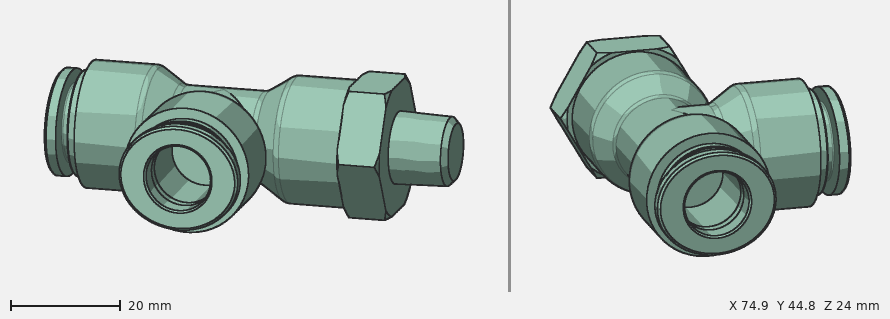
import cadquery as cq
import math


total_length = 74.9
arm_length = 30.9

bore_d = 12.2
bore_chamfer = 0.4
flange_width = 22.5
flange_height = 19.6
flange_thickness = 2.25
flange_chamfer = 0.45
neck_d = 14.2
neck_length = 1.7
neck_fillet = 0.2

ring_d = 19.6
ring_thickness = 1.95
ring_chamfer = 0.2

socket_d = 23.5
waist_d = 16.9
socket_inner_end = 13.0
waist_outer_end = 7.95
cone_fillet = 2.0

flange_back = arm_length - flange_thickness
ring_face = flange_back - neck_length
socket_face = ring_face - ring_thickness

hex_flats = 24.0
hex_corners = hex_flats / math.cos(math.radians(30))
hex_thickness = 8.0
hex_face_d = 25.5
hex_chamfer_angle = 30.0
thread_base_d = 13.4
thread_taper = 1 / 16
thread_end_chamfer = 1.1
hex_end = socket_face + hex_thickness
thread_end = total_length - arm_length


def point_left(shape):
    """Turn a shape built along +Z to point along -X."""
    return shape.rotate((0, 0, 0), (0, 1, 0), -90)


def point_right(shape):
    """Turn a shape built along +Z to point along +X."""
    return shape.rotate((0, 0, 0), (0, 1, 0), 90)


def point_front(shape):
    """Turn a shape built along +Z to point along -Y, its local Y axis going to X."""
    return shape.rotate((0, 0, 0), (0, 0, 1), 90).rotate((0, 0, 0), (1, 0, 0), 90)


def make_arm():
    """One solid arm along +Z: waist, cone and socket, with the cone blended into both."""
    arm = (
        cq.Workplane("XZ")
        .lineTo(waist_d / 2, 0)
        .lineTo(waist_d / 2, waist_outer_end)
        .lineTo(socket_d / 2, socket_inner_end)
        .lineTo(socket_d / 2, socket_face)
        .lineTo(0, socket_face)
        .close()
        .revolve(360, (0, 0, 0), (0, 1, 0))
    )
    cone_ends = arm.edges("%CIRCLE").edges("<<Z[1] or <<Z[2]")
    return cone_ends.fillet(cone_fillet)


def make_tube_bore():
    """The blind tube bore of a socket, along +Z."""
    bore_length = socket_face - socket_inner_end
    return cq.Workplane("XY").workplane(offset=socket_inner_end).circle(bore_d / 2).extrude(bore_length)


def make_body():
    """Tee body: three equal arms, with tube bores in the left and front ones."""
    arm = make_arm()
    bore = make_tube_bore()
    body = point_left(arm).union(point_right(arm)).union(point_front(arm))
    return body.cut(point_left(bore)).cut(point_front(bore))


def make_guide_ring():
    """Ring seated on the socket face, along +Z."""
    ring = cq.Workplane("XY").workplane(offset=socket_face).circle(ring_d / 2).extrude(ring_thickness)
    return ring.faces(">Z").edges().chamfer(ring_chamfer).faces(">Z").workplane().hole(bore_d)


def make_release_collar():
    """Release collar along +Z: an oval flange, wide in Y, on a round neck."""
    flange = (
        cq.Workplane("XY")
        .workplane(offset=flange_back)
        .ellipse(flange_height / 2, flange_width / 2)
        .extrude(flange_thickness)
        .faces(">Z")
        .edges()
        .chamfer(flange_chamfer)
    )
    neck = cq.Workplane("XY").workplane(offset=ring_face).circle(neck_d / 2).extrude(neck_length)
    collar = flange.union(neck).faces("<Z[1]").edges("%CIRCLE").fillet(neck_fillet)
    collar = collar.faces(">Z").workplane().hole(bore_d)
    return collar.faces(">Z").edges("%CIRCLE").chamfer(bore_chamfer)


def turn_about_x(points):
    """Solid of revolution about X from (x, radius) outline points."""
    return cq.Workplane("XY").polyline(points).close().revolve(360, (0, 0, 0), (1, 0, 0))


def make_hexagon():
    """Hexagon against the right socket face, its corners chamfered on both faces."""
    chamfer_width = (hex_corners - hex_face_d) / 2
    chamfer_depth = chamfer_width * math.tan(math.radians(hex_chamfer_angle))
    chamfer_envelope = turn_about_x(
        [
            (socket_face, 0),
            (socket_face, hex_face_d / 2),
            (socket_face + chamfer_depth, hex_corners / 2),
            (hex_end - chamfer_depth, hex_corners / 2),
            (hex_end, hex_face_d / 2),
            (hex_end, 0),
        ]
    )
    hexagon = cq.Workplane("YZ").workplane(offset=socket_face).polygon(6, hex_corners).extrude(hex_thickness)
    return hexagon.intersect(chamfer_envelope)


def make_thread():
    """Tapered thread envelope with a chamfered end."""
    base_r = thread_base_d / 2
    taper_end = thread_end - thread_end_chamfer
    tip_r = base_r - (taper_end - hex_end) * thread_taper / 2
    return turn_about_x(
        [
            (hex_end, 0),
            (hex_end, base_r),
            (taper_end, tip_r),
            (thread_end, tip_r - thread_end_chamfer),
            (thread_end, 0),
        ]
    )


body = make_body()
stud = make_hexagon().union(make_thread())
ports = (point_left, point_front)
guide_rings = [place(make_guide_ring()) for place in ports]
release_collars = [place(make_release_collar()) for place in ports]

result = cq.Compound.makeCompound(
    [
        body.val(),
        stud.val(),
        *[ring.val() for ring in guide_rings],
        *[collar.val() for collar in release_collars],
    ]
)